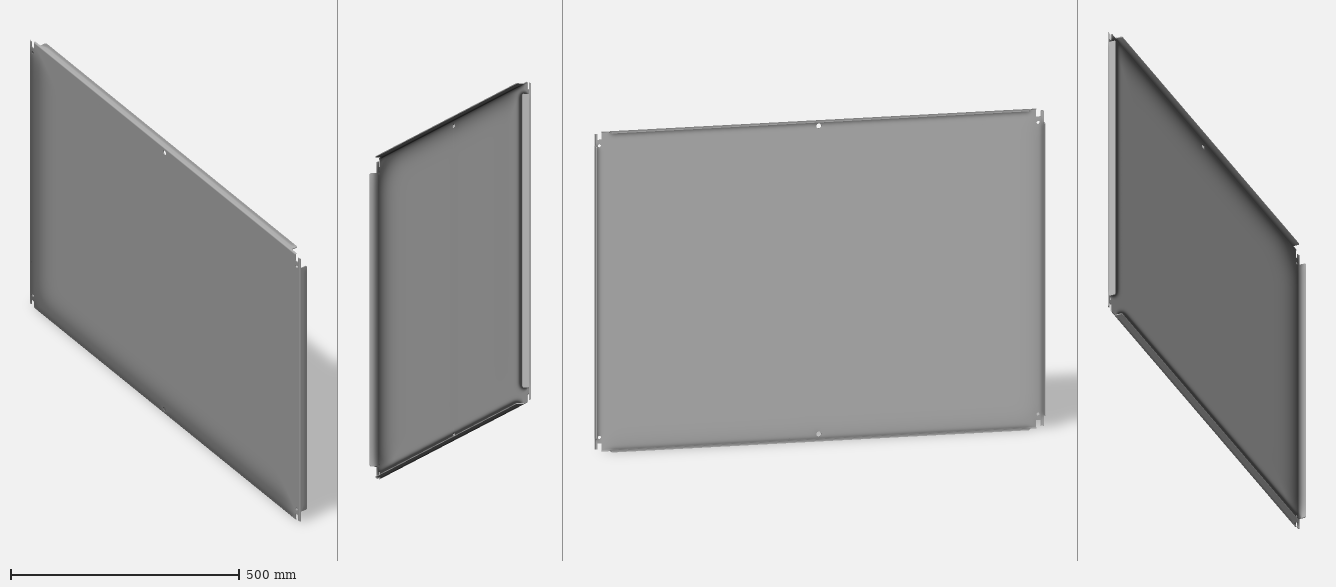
import cadquery as cq

width = 1020.0
depth = 19.0
height = 715.0

sheet = 2.0
bend_outer_radius = 3.6
bend_inner_radius = bend_outer_radius - sheet

relief_side_offset = 7.0
relief_width = 9.7
relief_depth = 18.0

top_bend_inset = relief_side_offset + relief_width
side_bend_inset = 5.0
top_flange_inset = 36.0
side_flange_inset = 31.0
flange_corner_chamfer = 2.0

middle_hole_diameter = 11.0
middle_hole_edge_distance = 13.0
corner_hole_diameter = 7.0
corner_hole_side_distance = 12.0
corner_hole_edge_distance = 32.0


def sheet_rectangle(size_x, size_z, x, z):
    """Rectangle of sheet in the plane of the face, centred at (x, z)."""
    block = cq.Workplane("XY").box(size_x, sheet, size_z, centered=(True, False, True))
    return block.translate((x, 0, z))


def flat_face():
    """Flat face between the bends, with relieved corners."""
    face = sheet_rectangle(width - 2 * bend_outer_radius, height - 2 * bend_outer_radius, 0, 0)
    slot_x = width / 2 - relief_side_offset - relief_width / 2
    slot_z = height / 2 - relief_depth / 2
    tip_x = width / 2 - relief_side_offset / 2
    tip_z = height / 2 - side_bend_inset / 2
    for side in (-1, 1):
        for end in (-1, 1):
            face = face.cut(sheet_rectangle(relief_width, relief_depth, side * slot_x, end * slot_z))
            face = face.cut(sheet_rectangle(relief_side_offset, side_bend_inset, side * tip_x, end * tip_z))
    return face


def bent_edge(span, bend_length, flange_length):
    """Bend and flange, running along Z, for the +X edge of a panel `span` wide."""
    edge = span / 2
    bend_start = edge - bend_outer_radius
    bend = (
        cq.Workplane("XY")
        .moveTo(bend_start, 0)
        .radiusArc((edge, bend_outer_radius), -bend_outer_radius)
        .lineTo(edge - sheet, bend_outer_radius)
        .radiusArc((bend_start, sheet), bend_inner_radius)
        .close()
        .extrude(bend_length / 2, both=True)
    )
    flange = (
        cq.Workplane("XY")
        .box(sheet, depth - bend_outer_radius, flange_length, centered=(True, False, True))
        .edges(">Y and |X")
        .chamfer(flange_corner_chamfer)
        .translate((edge - sheet / 2, bend_outer_radius, 0))
    )
    return bend.union(flange)


def hole(x, z, diameter):
    """Cutter for a round hole through the face."""
    return cq.Workplane("XZ", origin=(x, 0, z)).circle(diameter / 2).extrude(-sheet)


panel = flat_face()

side_edge = bent_edge(width, height - 2 * side_bend_inset, height - 2 * side_flange_inset)
top_edge = bent_edge(height, width - 2 * top_bend_inset, width - 2 * top_flange_inset)
for turn in (0, 180):
    panel = panel.union(side_edge.rotate((0, 0, 0), (0, 1, 0), turn))
    panel = panel.union(top_edge.rotate((0, 0, 0), (0, 1, 0), turn + 90))

middle_hole_z = height / 2 - middle_hole_edge_distance
corner_hole_x = width / 2 - corner_hole_side_distance
corner_hole_z = height / 2 - corner_hole_edge_distance
for end in (-1, 1):
    panel = panel.cut(hole(0, end * middle_hole_z, middle_hole_diameter))
    for side in (-1, 1):
        panel = panel.cut(hole(side * corner_hole_x, end * corner_hole_z, corner_hole_diameter))

result = panel